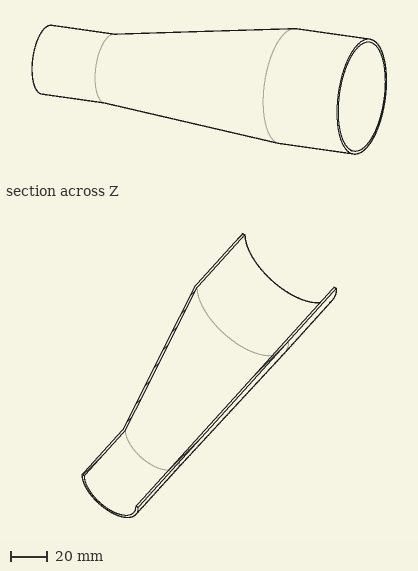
import cadquery as cq

total_length = 184.2
small_length = 38.1
large_length = 44.5
small_diameter = 38.1
large_diameter = 63.5
wall = 1.7

taper_start = small_length
taper_end = total_length - large_length
small_center_y = -(large_diameter - small_diameter) / 2


def tube_end(x_start, length, center_y, diameter):
    """Straight solid cylinder along X."""
    plane = cq.Workplane("YZ", origin=(x_start, center_y, 0))
    return plane.circle(diameter / 2).extrude(length)


def eccentric_taper(start_diameter, end_diameter):
    """Solid with straight sides between the two offset circles."""
    return (
        cq.Workplane("YZ", origin=(taper_start, 0, 0))
        .center(small_center_y, 0)
        .circle(start_diameter / 2)
        .workplane(offset=taper_end - taper_start)
        .center(-small_center_y, 0)
        .circle(end_diameter / 2)
        .loft(ruled=True)
    )


def reducer_solid(inset):
    """Full reducer shape with every surface moved inward radially by inset."""
    small = small_diameter - 2 * inset
    large = large_diameter - 2 * inset
    return (
        eccentric_taper(small, large)
        .union(tube_end(0, small_length, small_center_y, small))
        .union(tube_end(taper_end, large_length, 0, large))
    )


result = reducer_solid(0).cut(reducer_solid(wall))